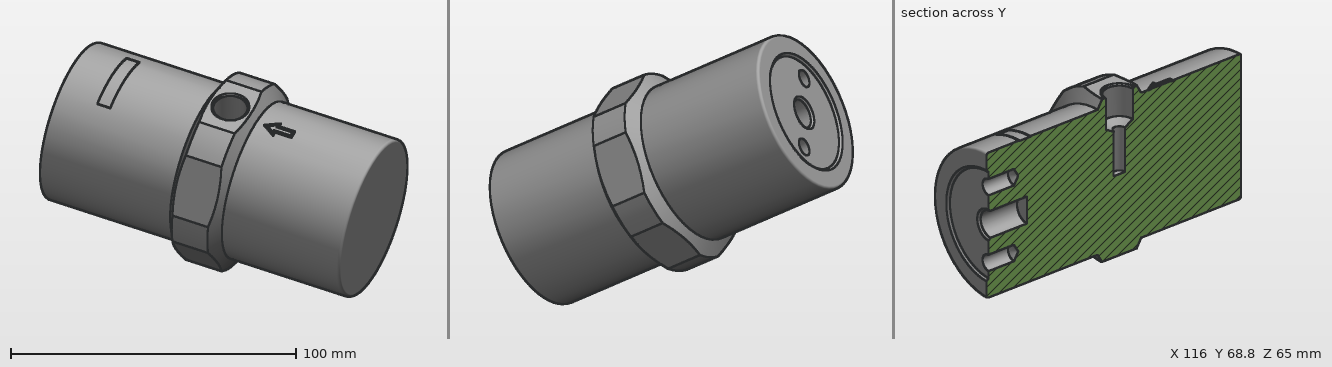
import cadquery as cq
import math

LENGTH = 116.0
BODY_RADIUS = 29.0
END_ROUND = 1.0

COLLAR_CENTRE = 2.5
COLLAR_WIDTH = 20.0
HEXAGON_SIDES = 6
ACROSS_FLATS = 65.0
ACROSS_TURNED_CORNERS = 68.8
FLANK_ANGLE = 30.0

PORT_DIAMETER = 12.1
PORT_MOUTH_DIAMETER = 13.3
PORT_DEPTH = 12.8
DRILL_POINT_ANGLE = 118.0
PASSAGE_DIAMETER = 5.0

RECESS_MOUTH_DIAMETER = 44.1
RECESS_FLOOR_DIAMETER = 42.2
CENTRE_HOLE_DIAMETER = 10.5
CENTRE_HOLE_MOUTH_DIAMETER = 12.3
CENTRE_HOLE_DEPTH = 17.4
PIN_HOLE_DIAMETER = 6.4
PIN_HOLE_DEPTH = 11.6
PIN_HOLE_OFFSET = 15.1

MARKING_DEPTH = 0.2
LABEL_CENTRE = -40.6
LABEL_WIDTH = 5.0
LABEL_LENGTH = 24.7
ARROW_TIP = 15.5
ARROW_HEAD_BACK = 20.5
ARROW_TAIL = 26.8
ARROW_HEAD_HALF_WIDTH = 3.2
ARROW_SHAFT_HALF_WIDTH = 1.6
ARROW_LINE_WIDTH = 0.7

LEFT_END = -LENGTH / 2
CORNER_RADIUS = ACROSS_TURNED_CORNERS / 2
RECESS_DEPTH = (RECESS_MOUTH_DIAMETER - RECESS_FLOOR_DIAMETER) / 2
RECESS_FLOOR = LEFT_END + RECESS_DEPTH


def turned(points):
    """Solid of revolution about X from a closed (x, radius) outline."""
    return cq.Workplane("XY").polyline(points).close().revolve(360, (0, 0, 0), (1, 0, 0))


def drill(diameter, depth, mouth_diameter=None, point_angle=None):
    """Drill shape entering along +X at the origin, with optional 45 degree mouth and conical tip."""
    radius = diameter / 2
    mouth_radius = (mouth_diameter or diameter) / 2
    outline = [(0, 0), (0, mouth_radius)]
    if mouth_radius > radius:
        outline.append((mouth_radius - radius, radius))
    outline.append((depth, radius))
    tip_length = radius / math.tan(math.radians(point_angle / 2)) if point_angle else 0
    outline.append((depth + tip_length, 0))
    return turned(outline)


def body():
    cylinder = cq.Workplane("YZ", origin=(LEFT_END, 0, 0)).circle(BODY_RADIUS).extrude(LENGTH)
    return cylinder.faces("<X or >X").edges().fillet(END_ROUND)


def collar():
    left = COLLAR_CENTRE - COLLAR_WIDTH / 2
    right = COLLAR_CENTRE + COLLAR_WIDTH / 2
    flank = (CORNER_RADIUS - BODY_RADIUS) * math.tan(math.radians(FLANK_ANGLE))
    across_corners = ACROSS_FLATS / math.cos(math.pi / HEXAGON_SIDES)
    hexagon = cq.Workplane("YZ", origin=(left, 0, 0)).polygon(HEXAGON_SIDES, across_corners)
    hexagon = hexagon.extrude(COLLAR_WIDTH)
    envelope = turned([
        (left, 0),
        (left, BODY_RADIUS),
        (left + flank, CORNER_RADIUS),
        (right - flank, CORNER_RADIUS),
        (right, BODY_RADIUS),
        (right, 0),
    ])
    return hexagon.intersect(envelope)


def port():
    """Port drilled down from the top flat, with a small passage on to the axis."""
    flat_height = ACROSS_FLATS / 2
    main = drill(PORT_DIAMETER, PORT_DEPTH, PORT_MOUTH_DIAMETER, DRILL_POINT_ANGLE)
    passage = drill(PASSAGE_DIAMETER, flat_height)
    downward = main.union(passage).rotate((0, 0, 0), (0, 1, 0), 90)
    return downward.translate((COLLAR_CENTRE, 0, flat_height))


def end_face_cuts():
    recess = turned([
        (LEFT_END, 0),
        (LEFT_END, RECESS_MOUTH_DIAMETER / 2),
        (RECESS_FLOOR, RECESS_FLOOR_DIAMETER / 2),
        (RECESS_FLOOR, 0),
    ])
    centre_hole = drill(CENTRE_HOLE_DIAMETER, CENTRE_HOLE_DEPTH, CENTRE_HOLE_MOUTH_DIAMETER)
    cuts = recess.union(centre_hole.translate((RECESS_FLOOR, 0, 0)))
    for height in (-PIN_HOLE_OFFSET, PIN_HOLE_OFFSET):
        pin_hole = drill(PIN_HOLE_DIAMETER, PIN_HOLE_DEPTH, point_angle=DRILL_POINT_ANGLE)
        cuts = cuts.union(pin_hole.translate((RECESS_FLOOR, 0, height)))
    return cuts


def markings():
    """Label field and outlined arrow, both sunk to a constant depth below the curved surface."""
    top_plane = cq.Workplane("XY")
    label = top_plane.center(LABEL_CENTRE, 0).rect(LABEL_WIDTH, LABEL_LENGTH).extrude(BODY_RADIUS)
    upper_half = [
        (ARROW_TIP, 0),
        (ARROW_HEAD_BACK, ARROW_HEAD_HALF_WIDTH),
        (ARROW_HEAD_BACK, ARROW_SHAFT_HALF_WIDTH),
        (ARROW_TAIL, ARROW_SHAFT_HALF_WIDTH),
    ]
    lower_half = [(x, -y) for x, y in reversed(upper_half[1:])]
    outline = top_plane.polyline(upper_half + lower_half).close()
    inset_outline = outline.offset2D(-ARROW_LINE_WIDTH, "intersection")
    arrow_core = inset_outline.extrude(BODY_RADIUS)
    arrow = top_plane.polyline(upper_half + lower_half).close().extrude(BODY_RADIUS)
    skin = cq.Workplane("YZ", origin=(LEFT_END, 0, 0)).circle(BODY_RADIUS)
    skin = skin.circle(BODY_RADIUS - MARKING_DEPTH).extrude(LENGTH)
    return label.union(arrow.cut(arrow_core)).intersect(skin)


result = body().union(collar()).cut(port()).cut(end_face_cuts()).cut(markings())